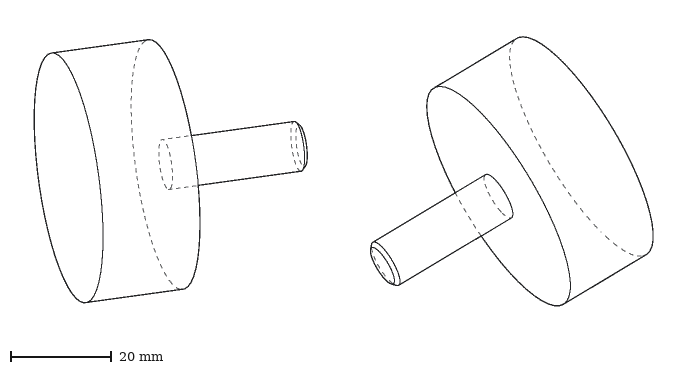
import cadquery as cq

pad_diameter = 50.0
pad_length = 20.0
stud_diameter = 10.0
stud_length = 28.0
stud_chamfer = 0.8


def cylinder_along_y(diameter, length, start_y):
    """Solid cylinder about the Y axis, reaching from start_y toward +Y."""
    plane = cq.Workplane("XZ", origin=(0, start_y, 0))
    return plane.circle(diameter / 2).extrude(-length)


def make_pad():
    """Plain round pad, with its back face at Y = pad_length."""
    return cylinder_along_y(pad_diameter, pad_length, 0)


def make_stud():
    """Stud standing on the pad's back face, with a chamfered free end."""
    stud = cylinder_along_y(stud_diameter, stud_length, pad_length)
    return stud.faces(">Y").chamfer(stud_chamfer)


pad = make_pad()
stud = make_stud()

result = cq.Compound.makeCompound([pad.val(), stud.val()])